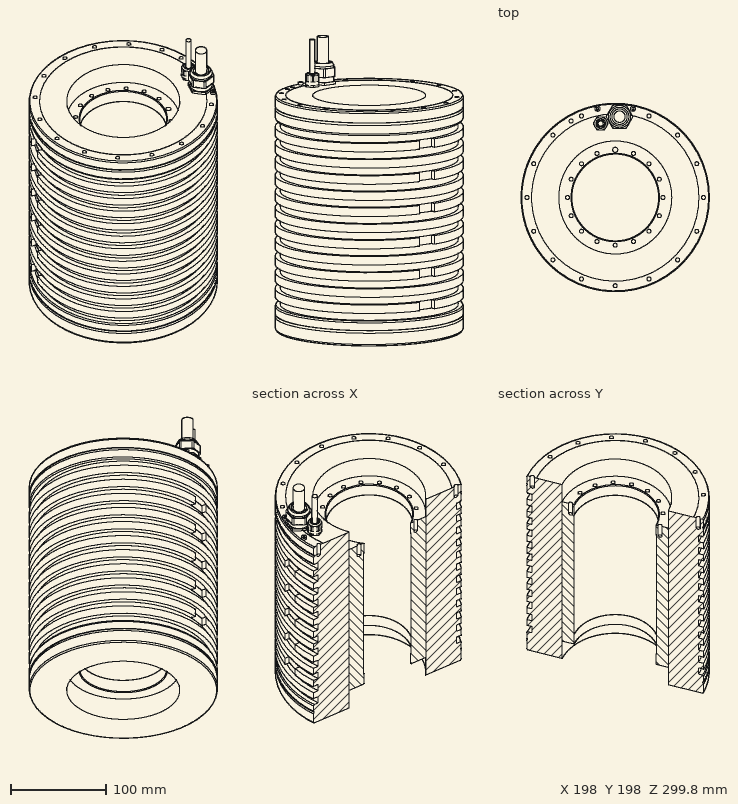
import cadquery as cq
import math

stator_radius = 99.0
stator_height = 250.0
air_bore_radius = 59.5
top_flange_height = 25.5
bottom_flange_height = 26.7
flange_chamfer_width = 1.0
flange_chamfer_height = 1.8

rib_count = 11
rib_width = 9.0
channel_radius = 93.5
channel_width = (
    stator_height - top_flange_height - bottom_flange_height - rib_count * rib_width
) / (rib_count + 1)
rib_pitch = rib_width + channel_width
passage_width = 19.5

groove_top_heights = (16.5, 238.0)
groove_height = 2.7
groove_depth = 1.0

core_face_radius = 87.8
core_face_setback = 0.3

hole_pitch_angle = 22.5
hole_positions = 16
cable_side_angle = 90.0
small_hole_diameter = 4.2
large_hole_diameter = 5.5
hole_depth = 15.0
drill_point_half_angle = 59.0
rim_hole_circle_radius = 92.5
extra_hole_angle = 120.0

plug_circle_radius = 95.0
plug_offset_angle = hole_pitch_angle / 2
plug_radius = 2.7
plug_height = 2.5
socket_radius = 1.2
socket_depth = 1.5

rotor_recess = 25.0
rotor_bore_radius = 45.5
rotor_bore_chamfer = 1.0
rotor_land_length = 14.7
rotor_relief_depth = 0.3
rotor_hole_circle_radius = 50.0
rotor_bottom = rotor_recess
rotor_top = stator_height - rotor_recess

cable_top = 299.8


def ring(outer_radius, inner_radius, bottom, top):
    """A plain hollow cylinder about the Z axis."""
    outline = cq.Workplane("XY").workplane(offset=bottom).circle(outer_radius).circle(inner_radius)
    return outline.extrude(top - bottom)


def polar_point(radius, angle):
    """X and Y of a point given by its radius and its angle in degrees."""
    turn = math.radians(angle)
    return (radius * math.cos(turn), radius * math.sin(turn))


def drilled_hole(center, top, diameter):
    """Cutter for a blind hole with a conical drill point."""
    radius = diameter / 2
    point_length = radius / math.tan(math.radians(drill_point_half_angle))
    profile = (
        cq.Workplane("XZ")
        .moveTo(0, top)
        .lineTo(radius, top)
        .lineTo(radius, top - hole_depth)
        .lineTo(0, top - hole_depth - point_length)
        .close()
    )
    return profile.revolve(360, (0, 0, 0), (0, 1, 0)).translate((*center, 0))


def flange(bottom, top):
    """A flange with chamfered outer edges."""
    edge_radius = stator_radius - flange_chamfer_width
    profile = (
        cq.Workplane("XZ")
        .moveTo(air_bore_radius, bottom)
        .lineTo(edge_radius, bottom)
        .lineTo(stator_radius, bottom + flange_chamfer_height)
        .lineTo(stator_radius, top - flange_chamfer_height)
        .lineTo(edge_radius, top)
        .lineTo(air_bore_radius, top)
        .close()
    )
    return profile.revolve(360, (0, 0, 0), (0, 1, 0))


def relief_groove(top):
    """Cutter for a groove with a flat upper wall and a floor that slopes out to the surface."""
    profile = (
        cq.Workplane("XZ")
        .moveTo(stator_radius, top)
        .lineTo(stator_radius - groove_depth, top)
        .lineTo(stator_radius, top - groove_height)
        .close()
    )
    return profile.revolve(360, (0, 0, 0), (0, 1, 0))


def rib(index):
    """A cooling rib; its coolant passage is at -Y on even ribs and at +Y on odd ones."""
    bottom = bottom_flange_height + channel_width + index * rib_pitch
    side = -1 if index % 2 == 0 else 1
    rib_depth = stator_radius - channel_radius
    passage = (
        cq.Workplane("XY")
        .workplane(offset=bottom)
        .center(0, side * stator_radius)
        .rect(passage_width, 2 * rib_depth)
        .extrude(rib_width)
    )
    return ring(stator_radius, air_bore_radius, bottom, bottom + rib_width).cut(passage)


def make_stator():
    body = ring(channel_radius, air_bore_radius, 0, stator_height)
    body = body.union(flange(0, bottom_flange_height))
    body = body.union(flange(stator_height - top_flange_height, stator_height))
    for index in range(rib_count):
        body = body.union(rib(index))
    for groove_top in groove_top_heights:
        body = body.cut(relief_groove(groove_top))

    core_face = stator_height - core_face_setback
    body = body.cut(ring(core_face_radius, air_bore_radius, core_face, stator_height))

    rim_hole_angles = [cable_side_angle + i * hole_pitch_angle for i in range(1, hole_positions)]
    for angle in rim_hole_angles + [extra_hole_angle]:
        center = polar_point(rim_hole_circle_radius, angle)
        body = body.cut(drilled_hole(center, stator_height, small_hole_diameter))

    for offset in (-plug_offset_angle, plug_offset_angle):
        center = polar_point(plug_circle_radius, cable_side_angle + offset)
        rim = cq.Workplane("XY").workplane(offset=stator_height).center(*center)
        plug = rim.circle(plug_radius).extrude(plug_height)
        plug = plug.faces(">Z").workplane().circle(socket_radius).cutBlind(-socket_depth)
        body = body.union(plug)
    return body


def make_rotor():
    body = ring(air_bore_radius, rotor_bore_radius, rotor_bottom, rotor_top)
    body = body.edges("%CIRCLE").edges(cq.selectors.RadiusNthSelector(0)).chamfer(rotor_bore_chamfer)
    relief = ring(
        rotor_bore_radius + rotor_relief_depth,
        rotor_bore_radius,
        rotor_bottom + rotor_land_length,
        rotor_top - rotor_land_length,
    )
    body = body.cut(relief)
    for i in range(hole_positions):
        center = polar_point(rotor_hole_circle_radius, cable_side_angle + i * hole_pitch_angle)
        diameter = large_hole_diameter if i == 0 else small_hole_diameter
        body = body.cut(drilled_hole(center, rotor_top, diameter))
    return body


def make_gland(
    center, cable_radius, hex_radius, nut_radius, neck_radius, cap_radius, cap_top_radius,
    base_height, nut_bottom, nut_height, collar_height, cap_height,
    mouth_radius, mouth_depth
):
    """A cable with its gland: hexagonal base, round neck, hexagonal nut and tapered cap.

    The cap has a shallow round mouth where the cable enters.
    The corners of the nut are turned down to nut_radius; heights start at the stator's top.
    """
    start = cq.Workplane("XY").workplane(offset=stator_height)
    nut_level = start.workplane(offset=nut_bottom)
    nut_top = nut_bottom + nut_height
    base = start.polygon(6, 2 * hex_radius).extrude(base_height)
    neck = start.circle(neck_radius).extrude(nut_bottom)
    nut = nut_level.polygon(6, 2 * hex_radius).extrude(nut_height)
    nut = nut.intersect(nut_level.circle(nut_radius).extrude(nut_height))
    collar = start.circle(cap_radius).extrude(nut_top + collar_height)
    cap = (
        start.workplane(offset=nut_top + collar_height)
        .circle(cap_radius)
        .workplane(offset=cap_height)
        .circle(cap_top_radius)
        .loft()
    )
    mouth_level = nut_top + collar_height + cap_height - mouth_depth
    mouth = start.workplane(offset=mouth_level).circle(mouth_radius).extrude(mouth_depth)
    cap = cap.cut(mouth)
    cable = start.circle(cable_radius).extrude(cable_top - stator_height)
    return base.union(neck).union(nut).union(collar).union(cap).union(cable).translate((*center, 0))


stator = make_stator()
rotor = make_rotor()
power_gland = make_gland(
    center=(4.5, 84.8), cable_radius=6.0, hex_radius=14.0, nut_radius=13.5, neck_radius=11.5,
    cap_radius=11.7, cap_top_radius=10.0, base_height=2.7, nut_bottom=8.0, nut_height=9.3,
    collar_height=2.0, cap_height=3.0, mouth_radius=8.0, mouth_depth=1.5,
)
signal_gland = make_gland(
    center=(-15.3, 77.5), cable_radius=2.7, hex_radius=7.8, nut_radius=7.5, neck_radius=6.0,
    cap_radius=7.0, cap_top_radius=5.0, base_height=1.8, nut_bottom=5.7, nut_height=6.5,
    collar_height=0.5, cap_height=1.2, mouth_radius=4.0, mouth_depth=1.0,
)

result = cq.Compound.makeCompound(
    [stator.val(), rotor.val(), power_gland.val(), signal_gland.val()]
)